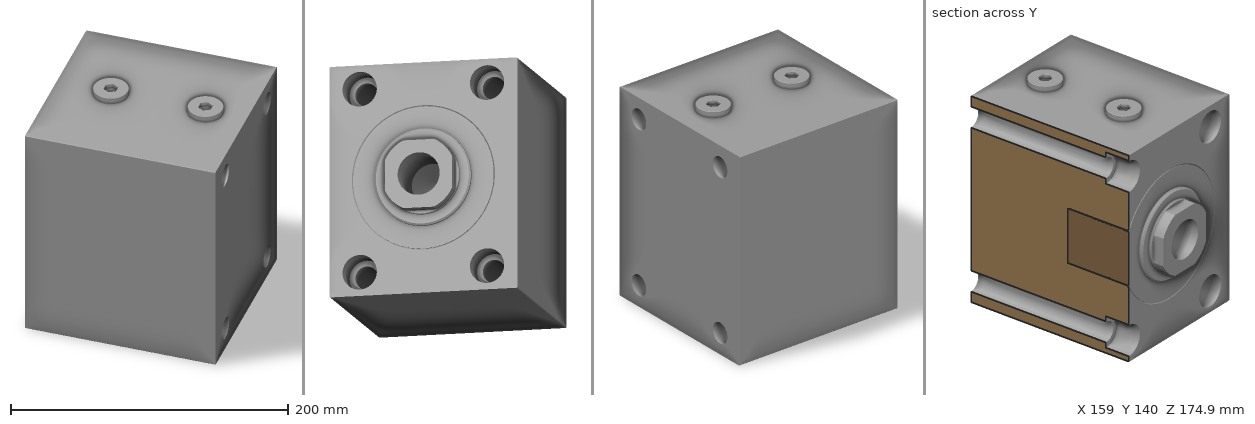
import cadquery as cq
import math

BLOCK_LENGTH = 145.0
BLOCK_WIDTH = 140.0
BLOCK_HEIGHT = 170.0
LONG_EDGE_CHAMFER = 0.5

BOLT_PITCH_Y = 94.8
BOLT_PITCH_Z = 135.0
BOLT_HOLE_DIAMETER = 17.0
COUNTERBORE_DIAMETER = 25.5
COUNTERBORE_DEPTH = 21.0

GLAND_DIAMETER = 105.0
GLAND_DEPTH = 56.0
GLAND_SEAT_CHAMFER = 0.9
COLLAR_DIAMETER = 71.7
COLLAR_PROJECTION = 3.0
COLLAR_CHAMFER = 1.2

ROD_DIAMETER = 56.0
ROD_SHOULDER_PROJECTION = 4.9
ROD_SHOULDER_CHAMFER = 0.5
ROD_PROJECTION = 14.0
ROD_HEAD_DIAMETER = 55.0
ROD_HEAD_FLATS = 50.0
ROD_BORE_DIAMETER = 31.3
ROD_BORE_DEPTH = 42.0
DRILL_POINT_ANGLE = 118.0

PLUG_POSITIONS_X = (42.0, 114.0)
PLUG_DIAMETER = 25.9
PLUG_PROJECTION = 4.9
PLUG_SEAT_DEPTH = 8.7
PLUG_TOP_CHAMFER = 0.3
SPOTFACE_DIAMETER = 28.0
SPOTFACE_DEPTH = 0.2
HEX_SIDES = 6
PLUG_HEX_FLATS = 9.5
PLUG_HEX_DEPTH = 3.5
PLUG_HEX_CHAMFER = 0.2
CHAMFER_ANGLE = 45.0

BLOCK_TOP = BLOCK_HEIGHT / 2


def cylinder_x(diameter, x_start, x_end):
    """Cylinder on the bore axis between two X positions."""
    return cq.Workplane("YZ", origin=(x_start, 0, 0)).circle(diameter / 2).extrude(x_end - x_start)


def cone_x(start_diameter, end_diameter, x_start, x_end):
    """Cone or frustum on the bore axis, narrowing towards +X."""
    solid = cq.Solid.makeCone(
        start_diameter / 2, end_diameter / 2, x_end - x_start, cq.Vector(x_start, 0, 0), cq.Vector(1, 0, 0)
    )
    return cq.Workplane(obj=solid)


def vertical_cylinder(x, diameter, z_start, z_end):
    """Upright cylinder on the centre plane between two heights."""
    return cq.Workplane("XY", origin=(x, 0, z_start)).circle(diameter / 2).extrude(z_end - z_start)


def plug_seat(x):
    """Pocket for one plug, inside a shallow spotface on the top face."""
    pocket = vertical_cylinder(x, PLUG_DIAMETER, BLOCK_TOP - PLUG_SEAT_DEPTH, BLOCK_TOP)
    spotface = vertical_cylinder(x, SPOTFACE_DIAMETER, BLOCK_TOP - SPOTFACE_DEPTH, BLOCK_TOP)
    return pocket.union(spotface)


def make_housing():
    """Block with four bolt holes, a chamfered gland seat and two plug seats."""
    block = (
        cq.Workplane("XY")
        .box(BLOCK_LENGTH, BLOCK_WIDTH, BLOCK_HEIGHT, centered=(False, True, True))
        .edges("|X")
        .chamfer(LONG_EDGE_CHAMFER)
    )
    block = (
        block.faces("<X")
        .workplane(origin=(0, 0, 0))
        .rect(BOLT_PITCH_Y, BOLT_PITCH_Z, forConstruction=True)
        .vertices()
        .cboreHole(BOLT_HOLE_DIAMETER, COUNTERBORE_DIAMETER, COUNTERBORE_DEPTH)
    )
    seat_rim_diameter = GLAND_DIAMETER + 2 * GLAND_SEAT_CHAMFER
    block = block.cut(cylinder_x(GLAND_DIAMETER, 0, GLAND_DEPTH))
    block = block.cut(cone_x(seat_rim_diameter, GLAND_DIAMETER, 0, GLAND_SEAT_CHAMFER))
    for x in PLUG_POSITIONS_X:
        block = block.cut(plug_seat(x))
    return block


def make_gland():
    """Ring around the rod, with a collar standing out of the front face."""
    collar = cylinder_x(COLLAR_DIAMETER, -COLLAR_PROJECTION, 0).faces("<X").chamfer(COLLAR_CHAMFER)
    ring = cylinder_x(GLAND_DIAMETER, 0, GLAND_DEPTH).union(collar)
    return ring.cut(cylinder_x(ROD_DIAMETER, -COLLAR_PROJECTION, GLAND_DEPTH))


def make_rod():
    """Rod ending level with the gland, with a four-flat head and a drilled bore."""
    head_length = ROD_PROJECTION - ROD_SHOULDER_PROJECTION
    head = cylinder_x(ROD_HEAD_DIAMETER, -ROD_PROJECTION, -ROD_SHOULDER_PROJECTION)
    square = (
        cq.Workplane("YZ", origin=(-ROD_PROJECTION, 0, 0))
        .rect(ROD_HEAD_FLATS, ROD_HEAD_FLATS)
        .extrude(head_length)
    )
    shank = cylinder_x(ROD_DIAMETER, -ROD_SHOULDER_PROJECTION, GLAND_DEPTH)
    shank = shank.faces("<X").chamfer(ROD_SHOULDER_CHAMFER)
    rod = shank.union(head.intersect(square))

    bore_end = ROD_BORE_DEPTH - ROD_PROJECTION
    point_length = ROD_BORE_DIAMETER / 2 / math.tan(math.radians(DRILL_POINT_ANGLE / 2))
    rod = rod.cut(cylinder_x(ROD_BORE_DIAMETER, -ROD_PROJECTION, bore_end))
    return rod.cut(cone_x(ROD_BORE_DIAMETER, 0, bore_end, bore_end + point_length))


def make_plug(x):
    """Round port plug with a hexagon socket."""
    plug_top = BLOCK_TOP + PLUG_PROJECTION
    body = vertical_cylinder(x, PLUG_DIAMETER, BLOCK_TOP - PLUG_SEAT_DEPTH, plug_top)
    body = body.faces(">Z").chamfer(PLUG_TOP_CHAMFER)

    rim_flats = PLUG_HEX_FLATS + 2 * PLUG_HEX_CHAMFER
    top_plane = cq.Workplane("XY", origin=(x, 0, plug_top))
    socket = top_plane.polygon(HEX_SIDES, PLUG_HEX_FLATS, circumscribed=True).extrude(-PLUG_HEX_DEPTH)
    rim_outline = top_plane.polygon(HEX_SIDES, rim_flats, circumscribed=True)
    rim = rim_outline.extrude(-PLUG_HEX_CHAMFER, taper=CHAMFER_ANGLE)
    return body.cut(socket).cut(rim)


housing = make_housing()
gland = make_gland()
rod = make_rod()
plugs = [make_plug(x) for x in PLUG_POSITIONS_X]

result = cq.Compound.makeCompound([housing.val(), gland.val(), rod.val(), *[plug.val() for plug in plugs]])